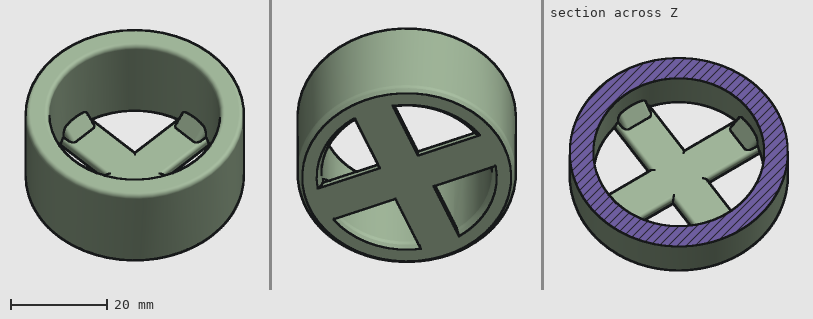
import cadquery as cq

outer_radius = 22.75
bore_radius = 17.75
height = 22.0
edge_size = 1.0

arm_width = 8.6
arm_thickness = 2.0
arm_edge_radius = 0.77

gusset_width = arm_width - 2 * arm_edge_radius
gusset_size = 3.0
gusset_edge_radius = 1.0

embed_radius = bore_radius + edge_size


def make_ring():
    """Ring with rounded top rims and blended chamfers at the bottom rims."""
    ring = cq.Workplane("XY").circle(outer_radius).circle(bore_radius).extrude(height)
    ring = ring.faces(">Z").edges().fillet(edge_size)
    ring = ring.faces("<Z").edges().chamfer(edge_size)
    chamfer_top = cq.selectors.BoxSelector(
        (-outer_radius, -outer_radius, edge_size / 2),
        (outer_radius, outer_radius, edge_size * 3 / 2),
        boundingbox=False,
    )
    return ring.edges("%CIRCLE").edges(chamfer_top).fillet(edge_size)


def make_cross():
    """Two crossed arms with rounded upper edges, trimmed to a round outline."""
    arm_length = 2 * outer_radius
    along_x = cq.Workplane("XY").rect(arm_length, arm_width).extrude(arm_thickness)
    along_y = along_x.rotate((0, 0, 0), (0, 0, 1), 90)
    cross = along_x.union(along_y)
    cross = cross.faces(">Z").edges().fillet(arm_edge_radius)
    trim = cq.Workplane("XY").circle(embed_radius).extrude(arm_thickness)
    return cross.intersect(trim)


def make_gusset():
    """Gusset at the +X end, with the two side edges of its slope rounded."""
    toe = bore_radius - gusset_size
    embed = embed_radius - toe
    gusset = (
        cq.Workplane("XZ")
        .polyline([
            (toe - arm_thickness, 0),
            (embed_radius, 0),
            (embed_radius, arm_thickness + embed),
        ])
        .close()
        .extrude(gusset_width / 2, both=True)
    )
    slope_side_edges = gusset.edges(cq.selectors.ParallelDirSelector(cq.Vector(1, 0, 1)))
    return slope_side_edges.fillet(gusset_edge_radius)


result = make_ring().union(make_cross())
gusset = make_gusset()
for angle in (0, 90, 180, 270):
    result = result.union(gusset.rotate((0, 0, 0), (0, 0, 1), angle))